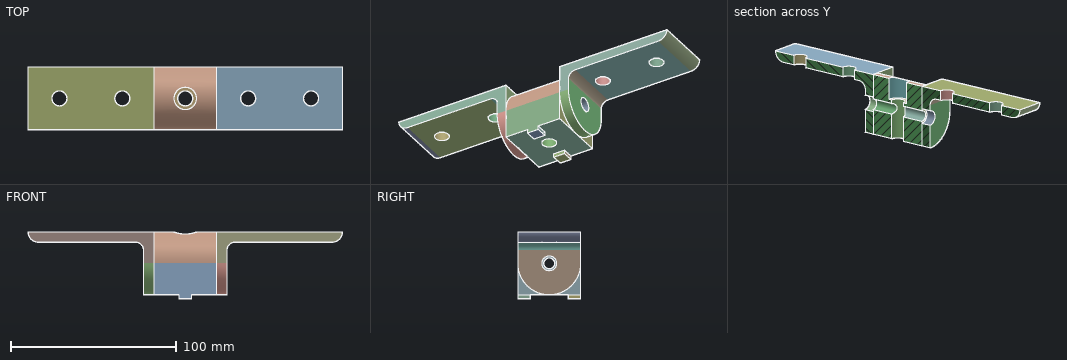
import cadquery as cq
import math

total_length = 190.5
width = 38.1
barrel_length = 38.1
plate_thickness = 6.3
inner_fillet = 4.8

mount_hole_diameter = 9.0
mount_hole_pitch = 38.1
first_mount_hole_x = 38.1
leg_hole_diameter = 9.0
axle_hole_diameter = 6.5
screw_hole_diameter = 9.0
counterbore_diameter = 13.5
counterbore_floor_z = 5.7

tab_size = 7.6
tab_height = 2.5

half_width = width / 2
half_barrel = barrel_length / 2
top_z = half_width
bottom_z = -half_width
plate_bottom_z = top_z - plate_thickness
leg_outer_x = half_barrel + plate_thickness
end_x = total_length / 2


def arc_point(center, radius, angle):
    """Point on a circle at the given angle in degrees."""
    radians = math.radians(angle)
    return (center[0] + radius * math.cos(radians), center[1] + radius * math.sin(radians))


def make_barrel():
    """Central block with a round top, square bottom, two tabs and crossing holes."""
    body = (
        cq.Workplane("YZ", origin=(-half_barrel, 0, 0))
        .moveTo(-half_width, bottom_z)
        .lineTo(half_width, bottom_z)
        .lineTo(half_width, 0)
        .threePointArc((0, top_z), (-half_width, 0))
        .close()
        .extrude(barrel_length)
    )
    tab_y = half_width - tab_size / 2
    tabs = (
        cq.Workplane("XY", origin=(0, 0, bottom_z))
        .pushPoints([(0, -tab_y), (0, tab_y)])
        .rect(tab_size, tab_size)
        .extrude(-tab_height)
    )
    axle_hole = (
        cq.Workplane("YZ", origin=(-half_barrel, 0, 0))
        .circle(axle_hole_diameter / 2)
        .extrude(barrel_length)
    )
    screw_hole = (
        cq.Workplane("XY", origin=(0, 0, bottom_z))
        .circle(screw_hole_diameter / 2)
        .extrude(width)
    )
    counterbore = (
        cq.Workplane("XY", origin=(0, 0, counterbore_floor_z))
        .circle(counterbore_diameter / 2)
        .extrude(top_z - counterbore_floor_z)
    )
    return body.union(tabs).cut(axle_hole).cut(screw_hole).cut(counterbore)


def make_arm():
    """L-shaped arm on the +X side: a drilled plate and a round-ended leg."""
    end_center = (end_x - plate_thickness, top_z)
    fillet_center = (leg_outer_x + inner_fillet, plate_bottom_z - inner_fillet)
    profile = (
        cq.Workplane("XZ", origin=(0, half_width, 0))
        .moveTo(half_barrel, bottom_z)
        .lineTo(half_barrel, top_z)
        .lineTo(end_x, top_z)
        .threePointArc(
            arc_point(end_center, plate_thickness, -45),
            (end_center[0], plate_bottom_z),
        )
        .lineTo(fillet_center[0], plate_bottom_z)
        .threePointArc(
            arc_point(fillet_center, inner_fillet, 135),
            (leg_outer_x, fillet_center[1]),
        )
        .lineTo(leg_outer_x, bottom_z)
        .close()
        .extrude(width)
    )
    leg_outline = (
        cq.Workplane("YZ", origin=(half_barrel, 0, 0))
        .moveTo(half_width, top_z)
        .lineTo(half_width, 0)
        .threePointArc((0, bottom_z), (-half_width, 0))
        .lineTo(-half_width, top_z)
        .close()
        .extrude(end_x - half_barrel)
    )
    leg_hole = (
        cq.Workplane("YZ", origin=(half_barrel, 0, 0))
        .circle(leg_hole_diameter / 2)
        .extrude(plate_thickness)
    )
    mount_holes = (
        cq.Workplane("XY", origin=(0, 0, plate_bottom_z))
        .pushPoints([(first_mount_hole_x, 0), (first_mount_hole_x + mount_hole_pitch, 0)])
        .circle(mount_hole_diameter / 2)
        .extrude(plate_thickness)
    )
    return profile.intersect(leg_outline).cut(leg_hole).cut(mount_holes)


barrel = make_barrel()

arms = []
for turn in (0, 180):
    arm = make_arm().rotate((0, 0, 0), (0, 0, 1), turn)
    arms.append(arm.val())

result = cq.Compound.makeCompound([barrel.val(), *arms])